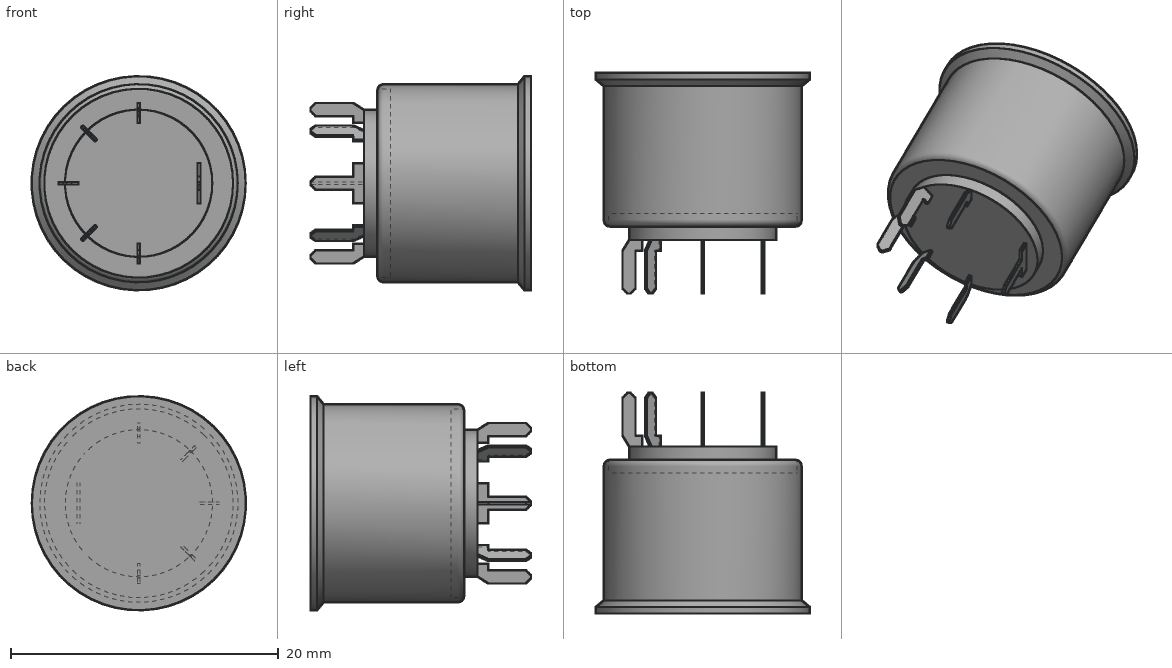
import cadquery as cq

flange_diameter = 16.0
flange_thickness = 0.5
housing_diameter = 14.8
flange_taper_length = 0.5
housing_length = 11.5
rim_radius = 0.5

header_diameter = 14.1
header_thickness = 1.0
boss_diameter = 11.0
boss_height = 1.0

contact_length = 4.0
foot_length = 0.8
blade_width = 1.0
tip_chamfer = 0.4
pin_thickness = 0.2
pin_outer_radius = 6.0
pin_foot_inner_radius = 4.5
pin_angles = (90, 135, 180, 225, 270)
tab_thickness = 0.2
tab_foot_width = 3.0
tab_center_x = 4.5

flange_face_y = 0.0
housing_end_y = flange_face_y - housing_length
boss_face_y = housing_end_y - boss_height
foot_y = boss_face_y - foot_length
tip_y = boss_face_y - contact_length
shoulder_y = tip_y + tip_chamfer


def cylinder(diameter, start_y, length):
    """Solid cylinder running from start_y toward -Y."""
    return cq.Workplane("XZ", origin=(0, start_y, 0)).circle(diameter / 2).extrude(length)


def make_envelope():
    """Outer shape of the housing and header: tapered flange, round body and rounded end rim."""
    flange_radius = flange_diameter / 2
    body_radius = housing_diameter / 2
    taper_start_y = flange_face_y - flange_thickness
    profile = (
        cq.Workplane("XY")
        .moveTo(0, flange_face_y)
        .lineTo(flange_radius, flange_face_y)
        .lineTo(flange_radius, taper_start_y)
        .lineTo(body_radius, taper_start_y - flange_taper_length)
        .lineTo(body_radius, housing_end_y + rim_radius)
        .radiusArc((body_radius - rim_radius, housing_end_y), rim_radius)
        .lineTo(0, housing_end_y)
        .close()
    )
    return profile.revolve(360, (0, 0, 0), (0, 1, 0))


def make_header_seat():
    """Cylinder that splits the envelope into housing and header."""
    return cylinder(header_diameter, housing_end_y + header_thickness, header_thickness)


def make_housing():
    """Round can with a recess in its end for the header."""
    return make_envelope().cut(make_header_seat())


def make_header():
    """Disc that fills the recess and continues the rounded rim, with the boss standing on it."""
    disc = make_envelope().intersect(make_header_seat())
    return disc.union(cylinder(boss_diameter, housing_end_y, boss_height))


def make_pin(angle):
    """Cranked flat pin lying in a radial plane, turned about Y to the given angle."""
    blade_inner_radius = pin_outer_radius - blade_width
    outline = [
        (pin_foot_inner_radius, boss_face_y),
        (boss_diameter / 2, boss_face_y),
        (pin_outer_radius, foot_y),
        (pin_outer_radius, shoulder_y),
        (pin_outer_radius - tip_chamfer, tip_y),
        (blade_inner_radius + tip_chamfer, tip_y),
        (blade_inner_radius, shoulder_y),
        (blade_inner_radius, foot_y),
        (pin_foot_inner_radius, foot_y),
    ]
    pin = cq.Workplane("XY").polyline(outline).close().extrude(pin_thickness / 2, both=True)
    return pin.rotate((0, 0, 0), (0, 1, 0), -angle)


def make_tab():
    """T-shaped flat tab, square to the X axis."""
    half_foot = tab_foot_width / 2
    half_blade = blade_width / 2
    half_tip = half_blade - tip_chamfer
    outline = [
        (boss_face_y, half_foot),
        (foot_y, half_foot),
        (foot_y, half_blade),
        (shoulder_y, half_blade),
        (tip_y, half_tip),
        (tip_y, -half_tip),
        (shoulder_y, -half_blade),
        (foot_y, -half_blade),
        (foot_y, -half_foot),
        (boss_face_y, -half_foot),
    ]
    plane = cq.Workplane("YZ", origin=(tab_center_x, 0, 0))
    return plane.polyline(outline).close().extrude(tab_thickness / 2, both=True)


housing = make_housing()
header = make_header()
pins = [make_pin(angle) for angle in pin_angles]
tab = make_tab()

result = cq.Compound.makeCompound(
    [housing.val(), header.val(), *[pin.val() for pin in pins], tab.val()]
)